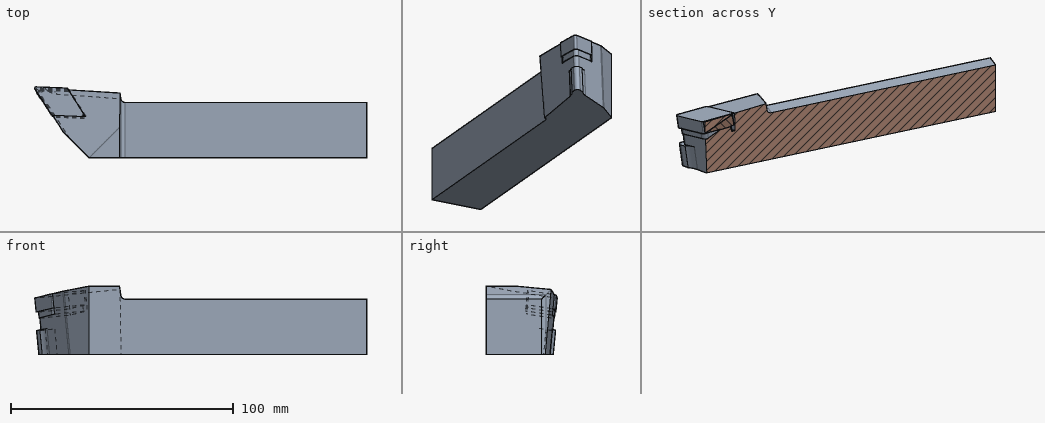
import cadquery as cq
import math

LENGTH = 149.3
SHANK = 25.0
HEAD_HEIGHT = 30.8
HEAD_REAR = 38.2
COVE_END = 40.8
COVE_START = 38.8
COVE_RISE = 2.0

HINGE_X = 24.5
SLOPE = 0.096
TIP_U = 5.0
TIP_V = 40.8
TIP_AXIS_ANGLE = -75.0
FLANK = 1
WALL = -FLANK

INSERT_ANGLE = 55.0
INSERT_SIDE = 15.4
INSERT_THICKNESS = 6.4
INSERT_CORNER = 0.7

SEAT_HEIGHT = 2.8
SEAT_INSET = 0.3
SEAT_NOSE = 1.3
SEAT_CORNER = 3.3
POCKET_DEPTH = INSERT_THICKNESS + SEAT_HEIGHT

HEAD_INSET = 0.5
REAR_INSET = 1.3
HEAD_SPAN = 40.3
HEAD_NOSE = 1.3
FLANK_BLEND = 4.8

FOOT_DEPTH = 14.8
FOOT_OUTSET = 0.67
FOOT_FLAT = 4.0
FOOT_BLEND_END = 8.4
FOOT_NOSE = 1.5

REACH = 59.7

tilted = cq.Plane(origin=(HINGE_X, 0, HEAD_HEIGHT), xDir=(1, 1, 0), normal=(-SLOPE, SLOPE, 1))
along_tilt = cq.selectors.ParallelDirSelector(tilted.zDir)


def edge_point(along, outset, side):
    """Point beside one cutting edge, by distance from the tip and outward offset."""
    angle = math.radians(TIP_AXIS_ANGLE - side * INSERT_ANGLE / 2)
    u = TIP_U + along * math.cos(angle) + side * outset * math.sin(angle)
    v = TIP_V + along * math.sin(angle) - side * outset * math.cos(angle)
    return u, v


def offset_tip(outset):
    """Sharp tip of the 55 degree corner after offsetting both of its edges outward."""
    back = outset / math.tan(math.radians(INSERT_ANGLE / 2))
    return edge_point(-back, outset, FLANK)


def rhombus(inset):
    """Corner points of the insert outline, offset inward by the inset."""
    tip = offset_tip(-inset)
    side = INSERT_SIDE - 2 * inset / math.sin(math.radians(INSERT_ANGLE))
    flank_step = [b - a for a, b in zip((TIP_U, TIP_V), edge_point(side, 0, FLANK))]
    wall_step = [b - a for a, b in zip((TIP_U, TIP_V), edge_point(side, 0, WALL))]
    flank_corner = (tip[0] + flank_step[0], tip[1] + flank_step[1])
    wall_corner = (tip[0] + wall_step[0], tip[1] + wall_step[1])
    far_corner = (flank_corner[0] + wall_step[0], flank_corner[1] + wall_step[1])
    return [tip, flank_corner, far_corner, wall_corner]


def tilted_prism(points, top_depth, height):
    """Prism square to the tilted top, starting at a depth below it."""
    plane = cq.Workplane(tilted).workplane(offset=-top_depth)
    return plane.polyline(points).close().extrude(-height)


def round_edge(body, point, depth, radius):
    """Round the tilted edge that passes through a point of the tilted frame."""
    place = tilted.toWorldCoords((point[0], point[1], -depth))
    nearest = cq.selectors.NearestToPointSelector(place.toTuple())
    return body.edges(along_tilt).edges(nearest).fillet(radius)


def make_insert():
    plate = tilted_prism(rhombus(0), 0, INSERT_THICKNESS)
    return plate.edges(along_tilt).fillet(INSERT_CORNER)


def make_flanks():
    nose = offset_tip(-HEAD_INSET)
    flank_start = edge_point(0, -HEAD_INSET, FLANK)
    flank_end = edge_point(INSERT_SIDE, -HEAD_INSET, FLANK)
    flank_slope = (flank_end[1] - flank_start[1]) / (flank_end[0] - flank_start[0])
    bend = (0, flank_start[1] - flank_slope * flank_start[0])
    wall_end = edge_point(HEAD_SPAN, -REAR_INSET, WALL)
    outline = [nose, bend, (0, -REACH), (REACH, -REACH), wall_end]
    flanks = tilted_prism(outline, 0, REACH)
    level_top = tilted_prism([(0, 0), (0, -REACH), (REACH, -REACH), (REACH, 0)], -REACH, REACH)
    flanks = flanks.union(level_top)
    flanks = round_edge(flanks, nose, REACH / 2, HEAD_NOSE)
    return round_edge(flanks, bend, REACH / 2, FLANK_BLEND)


def blend_middle(side):
    """Middle of the concave arc that is tangent to the flank at the blend's end."""
    run = FOOT_BLEND_END - FOOT_FLAT
    rise = FOOT_OUTSET + HEAD_INSET
    radius = (run**2 + rise**2) / (2 * rise)
    sag = radius - math.sqrt(radius**2 - (run / 2) ** 2)
    return edge_point(FOOT_BLEND_END - run / 2, sag - HEAD_INSET, side)


def make_foot():
    nose = offset_tip(FOOT_OUTSET)
    foot = (
        cq.Workplane(tilted)
        .workplane(offset=-FOOT_DEPTH)
        .moveTo(*nose)
        .lineTo(*edge_point(FOOT_FLAT, FOOT_OUTSET, FLANK))
        .threePointArc(blend_middle(FLANK), edge_point(FOOT_BLEND_END, -HEAD_INSET, FLANK))
        .lineTo(*edge_point(FOOT_BLEND_END, -HEAD_INSET - 1.5, FLANK))
        .lineTo(*edge_point(FOOT_BLEND_END, -HEAD_INSET - 1.5, WALL))
        .lineTo(*edge_point(FOOT_BLEND_END, -HEAD_INSET, WALL))
        .threePointArc(blend_middle(WALL), edge_point(FOOT_FLAT, FOOT_OUTSET, WALL))
        .close()
        .extrude(-REACH)
    )
    return round_edge(foot, nose, FOOT_DEPTH + REACH / 2, FOOT_NOSE)


def rear_cutter(plane, head_side, depth):
    """Space behind the head, bounded by its steep rear face, the cove and the shank."""
    middle = COVE_START + (COVE_END - COVE_START) * (1 - math.sqrt(0.5))
    return (
        cq.Workplane(plane)
        .moveTo(HEAD_REAR, head_side)
        .lineTo(COVE_START, SHANK + COVE_RISE)
        .threePointArc((middle, SHANK + COVE_RISE * (1 - math.sqrt(0.5))), (COVE_END, SHANK))
        .lineTo(REACH, SHANK)
        .lineTo(REACH, head_side)
        .close()
        .extrude(depth)
    )


def make_holder(shank_end):
    envelope = cq.Workplane().box(COVE_END + REACH, REACH, HEAD_HEIGHT, centered=False)
    envelope = envelope.translate((-REACH, 0, 0))
    head = make_flanks().union(make_foot()).intersect(envelope)
    head = head.cut(rear_cutter("XZ", HEAD_HEIGHT, -REACH))
    head = head.cut(rear_cutter("XY", HEAD_HEIGHT, REACH))

    shank = cq.Workplane().box(shank_end - HEAD_REAR, SHANK, SHANK, centered=False)
    holder = head.union(shank.translate((HEAD_REAR, 0, 0)))

    seat = tilted_prism(rhombus(SEAT_INSET), INSERT_THICKNESS, SEAT_HEIGHT)
    for corner, radius in zip(rhombus(SEAT_INSET), [SEAT_NOSE, SEAT_CORNER] * 2):
        seat = round_edge(seat, corner, INSERT_THICKNESS + SEAT_HEIGHT / 2, radius)
    pocket = tilted_prism(rhombus(0), 0, POCKET_DEPTH)
    return holder.cut(pocket).union(seat)


insert = make_insert()
shank_end = insert.val().BoundingBox().xmin + LENGTH
holder = make_holder(shank_end).cut(insert).solids()
result = cq.Compound.makeCompound([holder.val(), insert.val()])